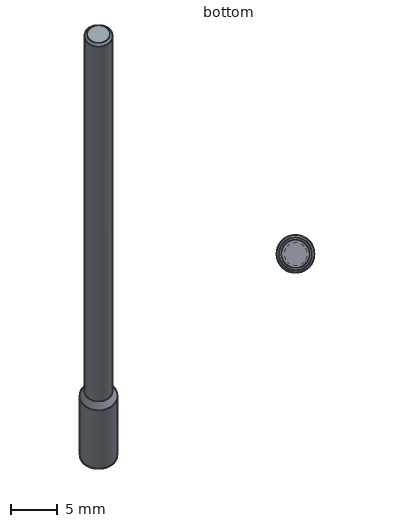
import cadquery as cq

total_length = 70.0
rod_diameter = 3.0
tip_chamfer = 0.3

sleeve_diameter = 4.05
sleeve_length = 10.85
shoulder_height = 0.85
foot_chamfer = 0.3

rod_radius = rod_diameter / 2
sleeve_radius = sleeve_diameter / 2


def make_rod():
    """Extrude the pin over the full length and chamfer its free end."""
    return (
        cq.Workplane("XY")
        .circle(rod_radius)
        .extrude(total_length)
        .faces(">Z")
        .chamfer(tip_chamfer)
    )


def make_sleeve():
    """Revolve the collar; its conical shoulder narrows to the rod surface."""
    return (
        cq.Workplane("XZ")
        .moveTo(rod_radius, 0)
        .lineTo(sleeve_radius - foot_chamfer, 0)
        .lineTo(sleeve_radius, foot_chamfer)
        .lineTo(sleeve_radius, sleeve_length - shoulder_height)
        .lineTo(rod_radius, sleeve_length)
        .close()
        .revolve(360, (0, 0, 0), (0, 1, 0))
    )


rod = make_rod()
sleeve = make_sleeve()

result = cq.Compound.makeCompound([rod.val(), sleeve.val()])